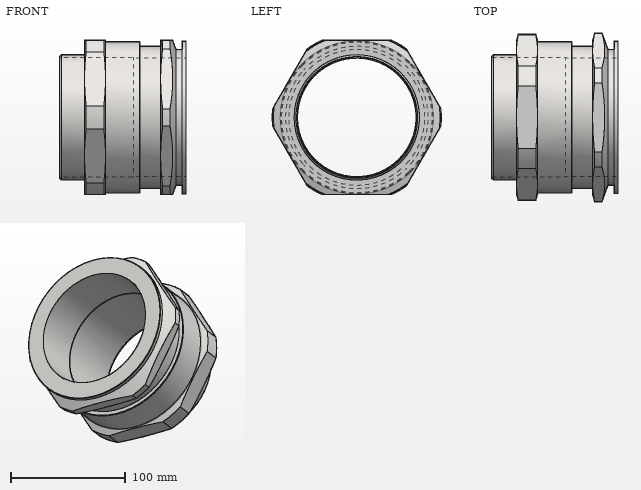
import cadquery as cq
import math

spigot_radius = 54.8
body_radius = 66.3
neck_radius = 62.3
groove_radius = 59.4
flange_radius = 66.8
bore_radius = 51.8
entry_bore_radius = 52.2

hex_sides = 6
across_flats = 135.0
hex_face_inset = 0.5
hex_face_radius = across_flats / 2 - hex_face_inset
body_hex_corner_radius = 72.8
nut_hex_corner_radius = 73.96
hex_bevel_angle = 15.0
nut_back_angle = 20.0

overall_length = 111.0
body_hex_start = 22.0
body_hex_length = 18.5
body_hex_end = body_hex_start + body_hex_length
body_length = 30.0
body_end = body_hex_end + body_length
nut_start = 88.5
nut_cylinder_end = 96.8
flange_thickness = 3.6
bore_step_station = 65.0
flange_start = overall_length - flange_thickness

spigot_chamfer_length = 2.0
spigot_chamfer_depth = 1.6
body_chamfer = 0.5
flange_chamfer = 0.4


def revolve_about_x(points):
    """Revolve a closed (x, radius) outline one full turn about the X axis."""
    return cq.Workplane("XY").polyline(points).close().revolve(360, (0, 0, 0), (1, 0, 0))


def bevel_run(radial_drop, angle):
    """Axial length of a bevel, tilted by angle from the end face, over a radial drop."""
    return radial_drop * math.tan(math.radians(angle))


def hexagon(start, end, turned_outline):
    """Hexagonal prism, flats facing +Z and -Z, with its corners turned to an outline."""
    corner_diameter = across_flats / math.cos(math.pi / hex_sides)
    base = cq.Workplane("YZ", origin=(start, 0, 0)).polygon(hex_sides, corner_diameter)
    prism = base.extrude(end - start)
    return prism.intersect(revolve_about_x(turned_outline))


def body_hexagon():
    run = bevel_run(body_hex_corner_radius - hex_face_radius, hex_bevel_angle)
    outline = [
        (body_hex_start, 0),
        (body_hex_start, hex_face_radius),
        (body_hex_start + run, body_hex_corner_radius),
        (body_hex_end - run, body_hex_corner_radius),
        (body_hex_end, hex_face_radius),
        (body_hex_end, 0),
    ]
    return hexagon(body_hex_start, body_hex_end, outline)


def nut_hexagon():
    """Cap nut hexagon whose back tapers down to the groove."""
    front_run = bevel_run(nut_hex_corner_radius - hex_face_radius, hex_bevel_angle)
    back_run = bevel_run(nut_hex_corner_radius - groove_radius, nut_back_angle)
    nut_end = nut_cylinder_end + back_run
    outline = [
        (nut_start, 0),
        (nut_start, hex_face_radius),
        (nut_start + front_run, nut_hex_corner_radius),
        (nut_cylinder_end, nut_hex_corner_radius),
        (nut_end, groove_radius),
        (nut_end, 0),
    ]
    return hexagon(nut_start, nut_end, outline)


def round_sections():
    """Spigot, body, neck, groove and end flange as one turned piece."""
    outline = [
        (0, 0),
        (0, spigot_radius - spigot_chamfer_depth),
        (spigot_chamfer_length, spigot_radius),
        (body_hex_start, spigot_radius),
        (body_hex_start, body_radius),
        (body_end - body_chamfer, body_radius),
        (body_end, body_radius - body_chamfer),
        (body_end, neck_radius),
        (nut_start, neck_radius),
        (nut_start, groove_radius),
        (flange_start, groove_radius),
        (flange_start, flange_radius),
        (overall_length - flange_chamfer, flange_radius),
        (overall_length, flange_radius - flange_chamfer),
        (overall_length, 0),
    ]
    return revolve_about_x(outline)


def bore():
    """Through bore with a slightly wider entry length."""
    outline = [
        (0, 0),
        (0, entry_bore_radius),
        (bore_step_station, entry_bore_radius),
        (bore_step_station, bore_radius),
        (overall_length, bore_radius),
        (overall_length, 0),
    ]
    return revolve_about_x(outline)


result = round_sections().union(body_hexagon()).union(nut_hexagon()).cut(bore())